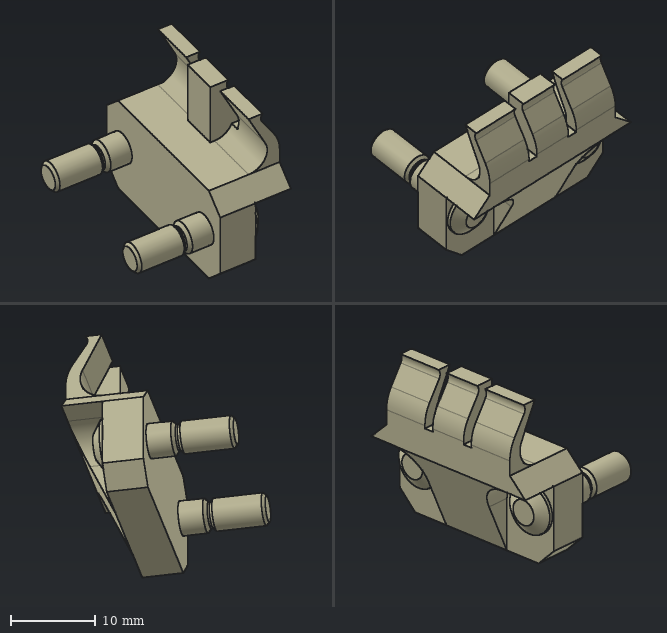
import cadquery as cq
import math

width = 25
plate_depth = 5
block_depth = 2 * plate_depth
block_height = 13.5
corner_width = 2.5
top_corner_height = 2.4
bottom_corner_height = 2.5
shoulder_z = block_height - top_corner_height

screw_x = 9
screw_z = 7
head_radius = 3.25
head_rim = 0.45
head_height = 1.55
head_end_radius = 1.68
shank_radius = 2.1
shank_length = 3
neck_radius = 1.6
neck_start = 3.45
neck_end = 3.7
thread_radius = 2
thread_start = 4.1
screw_length = 10.5
tip_chamfer = 0.4

total_height = 22
clip_width = 20
post_width = 5
slot_width = 1.25
slot_floor_z = 15.1
hollow_radius = 2.62
hollow_y = 5.6
hollow_z = block_height + hollow_radius
back_radius = 5
back_y = block_depth - back_radius
back_z = 15.5
nape_radius = 1
nape_y = 8.35
nape_z = 21.35


def box(x_range, y_range, z_range):
    """Axis-aligned box between the given limits."""
    lows, highs = zip(x_range, y_range, z_range)
    size = [high - low for low, high in zip(lows, highs)]
    return cq.Workplane("XY").box(*size, centered=False).translate(lows)


def extrude_along_x(outline, length):
    """Close a YZ outline and extrude it symmetrically about X = 0."""
    return outline.close().extrude(length / 2, both=True)


def on_circle(y, z, radius, angle):
    """Point of a YZ circle, the angle measured from +Y towards +Z."""
    return (y + radius * math.cos(angle), z + radius * math.sin(angle))


def make_block():
    half = width / 2
    inner = half - corner_width
    octagon = [
        (-inner, 0), (inner, 0),
        (half, bottom_corner_height), (half, shoulder_z),
        (inner, block_height), (-inner, block_height),
        (-half, shoulder_z), (-half, bottom_corner_height),
    ]
    block = cq.Workplane("XZ").polyline(octagon).close().extrude(-block_depth)

    slope = cq.Workplane("YZ").moveTo(plate_depth, 0).lineTo(block_depth, 0).lineTo(block_depth, shoulder_z)
    return block.cut(extrude_along_x(slope, width))


def make_head_recess(side):
    """Space behind the plate around one screw head, open downwards and outwards."""
    radius = shoulder_z - screw_z
    behind = (plate_depth, block_depth)
    inner_x = side * (screw_x - radius)
    centre_x = side * screw_x
    outer_x = side * width / 2
    round_part = (
        cq.Workplane("XZ", origin=(centre_x, plate_depth, screw_z))
        .circle(radius)
        .extrude(plate_depth - block_depth)
    )
    below = box(sorted((inner_x, outer_x)), behind, (0, screw_z))
    outside = box(sorted((centre_x, outer_x)), behind, (0, shoulder_z))
    return round_part.union(below).union(outside)


def make_screw(side):
    """Revolved screw; its profile holds radius and Y, with the plate front at Y = 0."""
    head_back = plate_depth + head_height
    profile = [
        (0, head_back),
        (head_end_radius, head_back),
        (head_radius, plate_depth + head_rim),
        (head_radius, plate_depth),
        (shank_radius, plate_depth),
        (shank_radius, -shank_length),
        (neck_radius, -neck_start),
        (neck_radius, -neck_end),
        (thread_radius, -thread_start),
        (thread_radius, tip_chamfer - screw_length),
        (thread_radius - tip_chamfer, -screw_length),
        (0, -screw_length),
    ]
    screw = cq.Workplane("XY").polyline(profile).close().revolve(360, (0, 0), (0, 1))
    return screw.translate((side * screw_x, 0, screw_z))


def make_clip_blank():
    """Clip with its curved back and flat front, before the fingers are hollowed."""
    span_y = nape_y - back_y
    span_z = nape_z - back_z
    span = math.hypot(span_y, span_z)
    tangent = math.atan2(span_z, span_y) - math.acos((back_radius + nape_radius) / span)
    top_angle = math.pi - math.asin((total_height - nape_z) / nape_radius)

    outline = (
        cq.Workplane("YZ")
        .moveTo(plate_depth, block_height)
        .lineTo(block_depth, block_height)
        .lineTo(block_depth, back_z)
        .threePointArc(
            on_circle(back_y, back_z, back_radius, tangent / 2),
            on_circle(back_y, back_z, back_radius, tangent),
        )
        .lineTo(*on_circle(nape_y, nape_z, nape_radius, tangent + math.pi))
        .threePointArc(
            on_circle(nape_y, nape_z, nape_radius, math.pi),
            on_circle(nape_y, nape_z, nape_radius, top_angle),
        )
        .lineTo(plate_depth, total_height)
    )
    return extrude_along_x(outline, clip_width)


def make_finger_hollow():
    """Space in front of the fingers: a round root running tangentially up to the tip."""
    tangent = math.pi / 2 - math.acos(hollow_radius / (total_height - hollow_z))
    outline = (
        cq.Workplane("YZ")
        .moveTo(plate_depth, block_height)
        .lineTo(hollow_y, block_height)
        .threePointArc(
            on_circle(hollow_y, hollow_z, hollow_radius, (tangent - math.pi / 2) / 2),
            on_circle(hollow_y, hollow_z, hollow_radius, tangent),
        )
        .lineTo(hollow_y, total_height)
        .lineTo(plate_depth, total_height)
    )
    post = box((-post_width / 2, post_width / 2), (plate_depth, block_depth), (block_height, total_height))
    return extrude_along_x(outline, clip_width).cut(post)


def make_slot(side):
    """Slot separating one finger from the centre post."""
    post_side = side * post_width / 2
    finger_side = post_side + side * slot_width
    return box(sorted((post_side, finger_side)), (plate_depth, block_depth), (slot_floor_z, total_height))


clip = make_clip_blank().cut(make_finger_hollow())
block = make_block()
screws = []
for side in (-1, 1):
    clip = clip.cut(make_slot(side))
    block = block.cut(make_head_recess(side))
    screws.append(make_screw(side))

result = block.union(clip)
for screw in screws:
    result = result.union(screw)